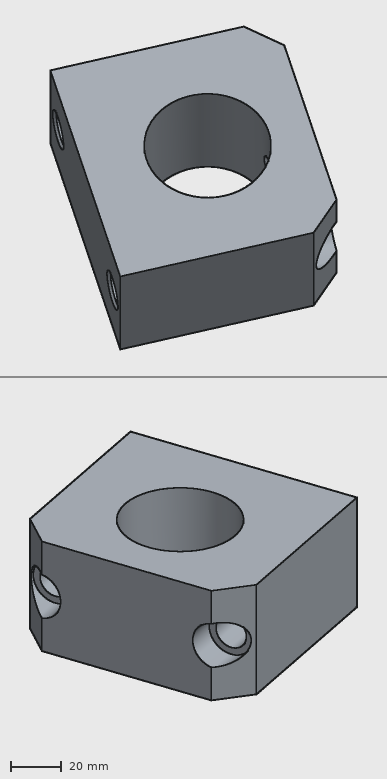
import cadquery as cq

width = 103.0
depth = 92.0
height = 50.0
corner_chamfer = 13.0
mid_height = height / 2

bore_diameter = 50.0
bore_to_front = 50.0
front_y = -bore_to_front
back_y = front_y + depth

mount_spacing = 80.0
mount_diameter = 13.8
mount_mouth_diameter = 16.2
mount_countersink_depth = (mount_mouth_diameter - mount_diameter) / 2
counterbore_diameter = 20.0
counterbore_depth = 13.0

pocket_diameter = 10.0
pocket_depth = 7.2
post_diameter = 5.7
post_recess = 1.1


def cylinder_along_y(diameter, x, start_y, length):
    """Cylinder at mid height, running toward +Y from start_y."""
    start = cq.Vector(x, start_y, mid_height)
    return cq.Workplane().add(cq.Solid.makeCylinder(diameter / 2, length, start, cq.Vector(0, 1, 0)))


def make_block():
    block = cq.Workplane("XY").box(width, depth, height, centered=(True, False, False))
    return block.translate((0, front_y, 0)).edges("|Z and >Y").chamfer(corner_chamfer)


def make_mounting_hole(x):
    """Through hole, countersunk at the front and counterbored at the back."""
    through = cylinder_along_y(mount_diameter, x, front_y, depth)
    countersink = cq.Workplane().add(
        cq.Solid.makeCone(
            mount_mouth_diameter / 2,
            mount_diameter / 2,
            mount_countersink_depth,
            cq.Vector(x, front_y, mid_height),
            cq.Vector(0, 1, 0),
        )
    )
    counterbore_start = back_y - counterbore_depth
    counterbore = cylinder_along_y(counterbore_diameter, x, counterbore_start, counterbore_depth)
    return through.union(countersink).union(counterbore)


def make_post_pocket():
    """Annular pocket whose post stops just short of the bore wall."""
    wall_y = bore_diameter / 2
    pocket = cylinder_along_y(pocket_diameter, 0, 0, wall_y + pocket_depth)
    post = cylinder_along_y(post_diameter, 0, wall_y + post_recess, pocket_depth)
    return pocket.cut(post)


bore = cq.Workplane("XY").circle(bore_diameter / 2).extrude(height)

result = make_block().cut(bore).cut(make_post_pocket())
for side in (-1, 1):
    result = result.cut(make_mounting_hole(side * mount_spacing / 2))